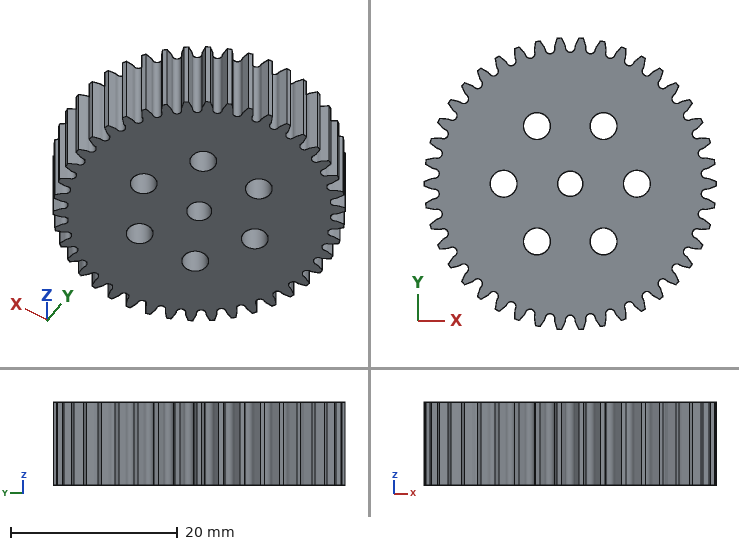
import cadquery as cq
import math

tooth_count = 42
module = 0.8
face_width = 10.0

pitch_radius = module * tooth_count / 2
root_radius = pitch_radius - 1.25 * module
tip_radius = 17.55
knee_radius = 16.65
fillet_end_radius = 16.4

tip_half_width = 0.28
knee_half_width = 0.63
base_half_width = 0.665

bore_diameter = 3.0
bolt_hole_diameter = 3.2
bolt_hole_count = 6
bolt_circle_radius = 8.0

tooth_pitch_angle = 2 * math.pi / tooth_count


def polar(radius, angle):
    """Point in the XY plane at the given radius and angle in radians."""
    return (radius * math.cos(angle), radius * math.sin(angle))


def tooth_point(centre_angle, radius, half_width, side):
    """Point on one flank (side -1 or +1) of the tooth at centre_angle."""
    return polar(radius, centre_angle + side * half_width / radius)


def gear_blank():
    """Toothed disc: straight-faceted flanks, arc tips and round roots."""
    profile = cq.Workplane("XY").workplane(offset=-face_width / 2)
    profile = profile.moveTo(*tooth_point(0, fillet_end_radius, base_half_width, -1))
    for index in range(tooth_count):
        centre = index * tooth_pitch_angle
        next_centre = centre + tooth_pitch_angle
        root_middle = polar(root_radius, centre + tooth_pitch_angle / 2)
        profile = (
            profile
            .lineTo(*tooth_point(centre, knee_radius, knee_half_width, -1))
            .lineTo(*tooth_point(centre, tip_radius, tip_half_width, -1))
            .threePointArc(polar(tip_radius, centre), tooth_point(centre, tip_radius, tip_half_width, 1))
            .lineTo(*tooth_point(centre, knee_radius, knee_half_width, 1))
            .lineTo(*tooth_point(centre, fillet_end_radius, base_half_width, 1))
            .threePointArc(root_middle, tooth_point(next_centre, fillet_end_radius, base_half_width, -1))
        )
    return profile.close().extrude(face_width)


def cut_bore(body):
    """Central shaft hole."""
    return body.faces(">Z").workplane(origin=(0, 0, 0)).hole(bore_diameter)


def cut_bolt_holes(body):
    """Ring of equally spaced through holes, the first on the +X axis."""
    return (
        body.faces(">Z").workplane(origin=(0, 0, 0))
        .polarArray(bolt_circle_radius, 0, 360, bolt_hole_count)
        .hole(bolt_hole_diameter)
    )


result = cut_bolt_holes(cut_bore(gear_blank()))